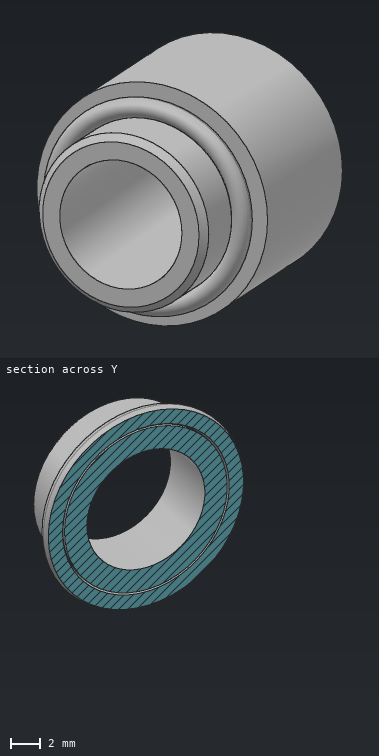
import cadquery as cq

total_length = 17.0
body_diameter = 17.0
body_length = 12.0
spigot_diameter = 12.5
spigot_chamfer = 0.5
bore_diameter = 9.0
ring_section_diameter = 1.4
ring_seating = 0.02

spigot_length = total_length - body_length
ring_section_radius = ring_section_diameter / 2
ring_center_radius = spigot_diameter / 2 + ring_section_radius - ring_seating
ring_center_y = spigot_length - ring_section_radius + ring_seating


def cylinder_along_y(diameter, start_y, length):
    """Cylinder on the Y axis, growing toward +Y from start_y."""
    plane = cq.Plane(origin=(0, start_y, 0), xDir=(1, 0, 0), normal=(0, 1, 0))
    return cq.Workplane(plane).circle(diameter / 2).extrude(length)


body = cylinder_along_y(body_diameter, spigot_length, body_length)

spigot = cylinder_along_y(spigot_diameter, 0, spigot_length)
spigot = spigot.faces("<Y").edges().chamfer(spigot_chamfer)

ring = (
    cq.Workplane("XY")
    .center(ring_center_radius, ring_center_y)
    .circle(ring_section_radius)
    .revolve(360, (-ring_center_radius, 0), (-ring_center_radius, 1))
)

bore = cylinder_along_y(bore_diameter, 0, total_length)

result = body.union(spigot).union(ring).cut(bore)